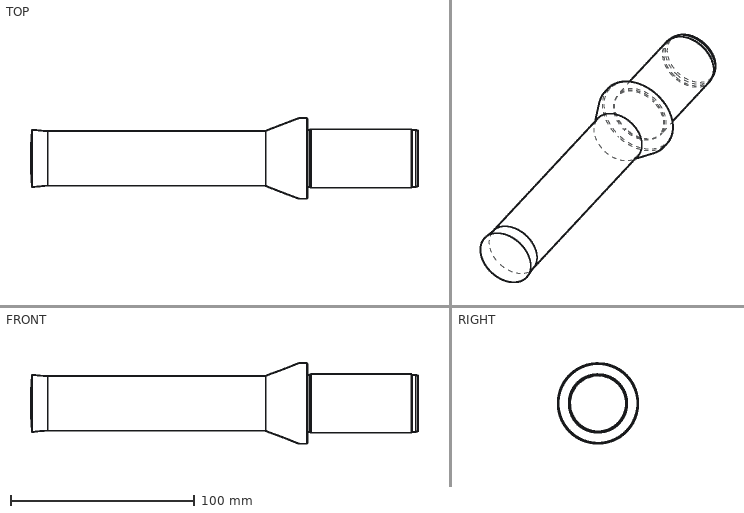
import cadquery as cq

total_length = 211.0

head_diameter = 31.5
head_length = 9.0
taper_end_x = 8.0
dimple_floor_radius = 0.6
dimple_depth = 0.5
ridge_radius = 8.2
face_break_radius = 13.3
face_break_x = 0.32
face_rim_radius = 15.0
face_rim_x = 0.45
corner_x = 0.6

shaft_diameter = 30.0
flange_diameter = 44.0
shaft_end_x = 127.9
cone_start_x = 129.8
cone_start_radius = 15.8
cone_end_x = 145.2
cone_end_radius = 21.7
rim_start_x = 146.2
flange_end_x = 150.9
flange_chamfer = 0.6

shank_diameter = 32.0
neck_diameter = 31.2
neck_end_x = 152.0
shank_start_x = 152.8
shank_end_x = 207.2
lead_start_x = 207.8
lead_chamfer_length = 1.3
end_radius = 15.2

head_radius = head_diameter / 2
shaft_radius = shaft_diameter / 2
flange_radius = flange_diameter / 2
shank_radius = shank_diameter / 2
neck_radius = neck_diameter / 2


def revolve_about_x(profile):
    """Close a profile drawn from the X axis back to the X axis and revolve it."""
    return profile.close().revolve(360, (0, 0, 0), (1, 0, 0))


def make_head():
    """Head with a dimpled face, beveled corner and back taper."""
    profile = (
        cq.Workplane("XY")
        .moveTo(dimple_depth, 0)
        .lineTo(dimple_depth, dimple_floor_radius)
        .lineTo(0, ridge_radius)
        .lineTo(face_break_x, face_break_radius)
        .lineTo(face_rim_x, face_rim_radius)
        .lineTo(corner_x, head_radius)
        .lineTo(taper_end_x, shaft_radius)
        .lineTo(head_length, shaft_radius)
        .lineTo(head_length, 0)
    )
    return revolve_about_x(profile)


def make_holder():
    """Shaft, conical flange and shank turned as one piece."""
    profile = (
        cq.Workplane("XY")
        .moveTo(head_length, 0)
        .lineTo(head_length, shaft_radius)
        .lineTo(shaft_end_x, shaft_radius)
        .lineTo(cone_start_x, cone_start_radius)
        .lineTo(cone_end_x, cone_end_radius)
        .lineTo(rim_start_x, flange_radius)
        .lineTo(flange_end_x - flange_chamfer, flange_radius)
        .lineTo(flange_end_x, flange_radius - flange_chamfer)
        .lineTo(flange_end_x, neck_radius)
        .lineTo(neck_end_x, neck_radius)
        .lineTo(shank_start_x, shank_radius)
        .lineTo(shank_end_x, shank_radius)
        .lineTo(lead_start_x, neck_radius)
        .lineTo(total_length - lead_chamfer_length, neck_radius)
        .lineTo(total_length, end_radius)
        .lineTo(total_length, 0)
    )
    return revolve_about_x(profile)


head = make_head()
holder = make_holder()

result = cq.Compound.makeCompound([head.val(), holder.val()])